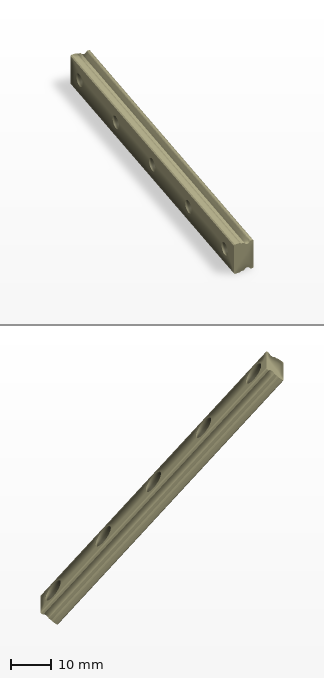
import cadquery as cq

LENGTH = 90.0
HEIGHT = 5.5
BASE_WIDTH = 9.0
HEAD_WIDTH = 8.6
BASE_CHAMFER = 0.3
HEAD_ROUND = 0.4
GROOVE_LIP_CHAMFER = 0.2

FLANK_TOP_Y = 1.5
STEP_Y = 2.1
STEP_Z = 4.2
STEP_BREAK_Y = 1.8
STEP_BREAK_Z = 4.4
GROOVE_START_Y = 2.9
GROOVE_MID_Y = 3.7
GROOVE_END_Y = 4.5
GROOVE_BOTTOM_Z = 3.6

HOLE_DIAMETER = 3.5
COUNTERBORE_DIAMETER = 6.0
COUNTERBORE_DEPTH = 3.3
HOLE_COUNT = 5
HOLE_PITCH = 20.0

half_base = BASE_WIDTH / 2
half_head = HEAD_WIDTH / 2


def half_profile():
    """Upper half of the rail section, in the YZ plane."""
    return (
        cq.Workplane("YZ")
        .moveTo(0, 0)
        .lineTo(0, half_base - BASE_CHAMFER)
        .lineTo(BASE_CHAMFER, half_base)
        .lineTo(FLANK_TOP_Y, half_base)
        .lineTo(STEP_BREAK_Y, STEP_BREAK_Z)
        .lineTo(STEP_Y, STEP_Z)
        .lineTo(GROOVE_START_Y, STEP_Z)
        .threePointArc((GROOVE_MID_Y, GROOVE_BOTTOM_Z), (GROOVE_END_Y, half_head - GROOVE_LIP_CHAMFER))
        .lineTo(GROOVE_END_Y + GROOVE_LIP_CHAMFER, half_head)
        .lineTo(HEIGHT - HEAD_ROUND, half_head)
        .radiusArc((HEIGHT, half_head - HEAD_ROUND), HEAD_ROUND)
        .lineTo(HEIGHT, 0)
        .close()
    )



def hole_row(diameter, start_y, depth):
    """Row of cylinders along the rail, running in +Y from start_y."""
    return (
        cq.Workplane("XZ", origin=(0, start_y, 0))
        .rarray(HOLE_PITCH, 0.9, HOLE_COUNT, 1)
        .circle(diameter / 2)
        .extrude(-depth)
    )


upper_half = half_profile().extrude(LENGTH / 2, both=True)
rail = upper_half.union(upper_half.mirror("XY"))

holes = hole_row(HOLE_DIAMETER, 0, HEIGHT)
counterbores = hole_row(COUNTERBORE_DIAMETER, HEIGHT - COUNTERBORE_DEPTH, COUNTERBORE_DEPTH)

result = rail.cut(holes).cut(counterbores).clean()